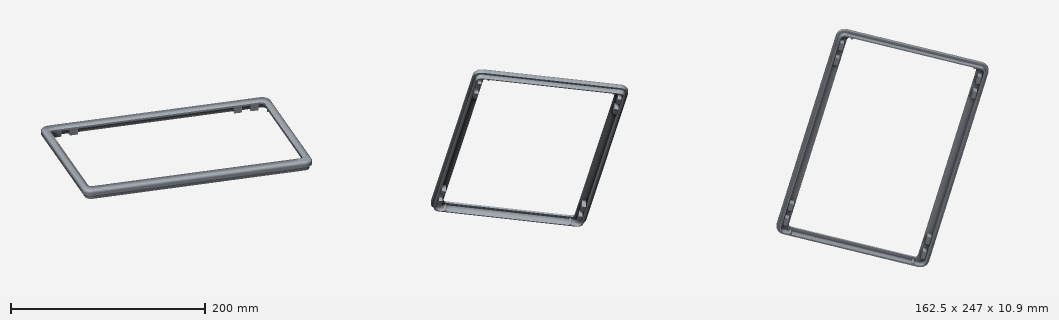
import cadquery as cq

WIDTH = 162.5
LENGTH = 247.0
HEIGHT = 10.9
CORNER_RADIUS = 9.5

BEZEL_HEIGHT = 6.0
EDGE_FILLET = 3.0
PLATE_THICKNESS = 3.0

LONG_RAIL = 12.4
SHORT_RAIL = 8.5
OPENING_RADIUS = 3.0
BEVEL_WIDTH = 3.2
BEVEL_DEPTH = 1.0

RIM_INSET = 3.0
RIM_THICKNESS = 1.5

TAB_WIDTH = 8.5
TAB_THICKNESS = 4.0
TAB_SETBACK = 2.5
TAB_CENTERS = (88.5, 106.2)

PIN_DIAMETER = 3.0
PIN_X = 65.5

PLATE_BOTTOM = HEIGHT - PLATE_THICKNESS
BEZEL_BOTTOM = HEIGHT - BEZEL_HEIGHT
CAVITY_INSET = RIM_INSET + RIM_THICKNESS
OPENING_WIDTH = WIDTH - 2 * LONG_RAIL
OPENING_LENGTH = LENGTH - 2 * SHORT_RAIL


def rounded_block(width, length, radius, bottom, top):
    """Block centred on the Z axis, with rounded vertical corners."""
    block = cq.Workplane("XY", origin=(0, 0, bottom)).rect(width, length).extrude(top - bottom)
    return block.edges("|Z").fillet(radius)


def inset_block(inset, bottom, top):
    """Block whose walls lie a constant distance inside the outer outline."""
    return rounded_block(WIDTH - 2 * inset, LENGTH - 2 * inset, CORNER_RADIUS - inset, bottom, top)


def mirrored_points(x, y):
    """The point (x, y) repeated in all four quadrants."""
    return [(sign_x * x, sign_y * y) for sign_x in (-1, 1) for sign_y in (-1, 1)]


def frame():
    """Bezel with a rounded top edge, a narrower rim below it and a hollow underside."""
    bezel = inset_block(0, BEZEL_BOTTOM, HEIGHT).faces(">Z").edges().fillet(EDGE_FILLET)
    rim = inset_block(RIM_INSET, 0, BEZEL_BOTTOM)
    cavity = inset_block(CAVITY_INSET, 0, PLATE_BOTTOM)
    return bezel.union(rim).cut(cavity)


def opening():
    """Through opening in the plate."""
    return rounded_block(OPENING_WIDTH, OPENING_LENGTH, OPENING_RADIUS, 0, HEIGHT)


def bevel():
    """Shallow flare that widens the opening towards the top face."""
    top_width = OPENING_WIDTH + 2 * BEVEL_WIDTH
    top_length = OPENING_LENGTH + 2 * BEVEL_WIDTH
    lower = cq.Sketch().rect(OPENING_WIDTH, OPENING_LENGTH).vertices().fillet(OPENING_RADIUS)
    upper = cq.Sketch().rect(top_width, top_length).vertices().fillet(OPENING_RADIUS + BEVEL_WIDTH)
    raised_upper = upper.moved(cq.Location(cq.Vector(0, 0, BEVEL_DEPTH)))
    base = cq.Workplane("XY", origin=(0, 0, HEIGHT - BEVEL_DEPTH))
    return base.placeSketch(lower, raised_upper).loft(ruled=True)


def tabs():
    """Clip tabs, two near each corner, from the plate down to the rim's lower edge."""
    tab_x = OPENING_WIDTH / 2 + TAB_SETBACK + TAB_THICKNESS / 2
    spots = [spot for tab_y in TAB_CENTERS for spot in mirrored_points(tab_x, tab_y)]
    return cq.Workplane("XY").pushPoints(spots).rect(TAB_THICKNESS, TAB_WIDTH).extrude(PLATE_BOTTOM)


def pins():
    """One pin near each corner, centred on the inner face of the rim."""
    pin_y = LENGTH / 2 - CAVITY_INSET
    spots = mirrored_points(PIN_X, pin_y)
    return cq.Workplane("XY").pushPoints(spots).circle(PIN_DIAMETER / 2).extrude(PLATE_BOTTOM)


result = frame().cut(opening()).cut(bevel()).union(tabs()).union(pins())